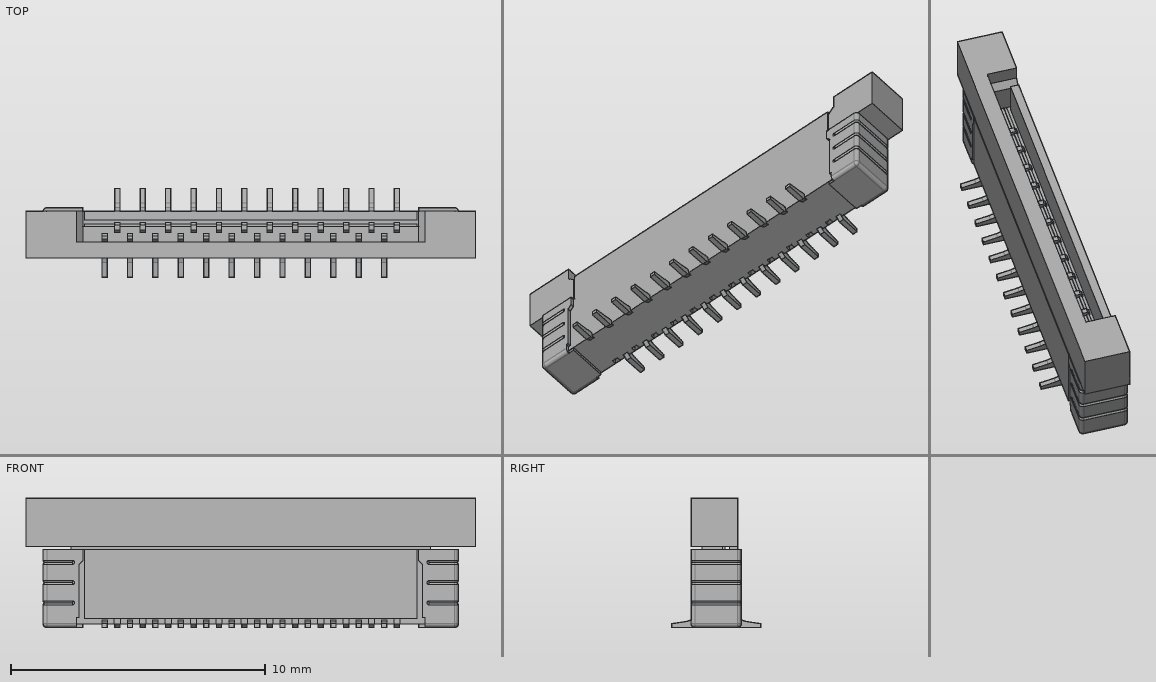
import cadquery as cq

slider_length = 17.7
top_z = 5.1
front_y = -1.0
clip_back_y = -front_y
sheet = 0.15
bend_radius = 0.16
body_back_y = clip_back_y - sheet
body_top_z = 3.08

slider_bottom_z = 3.19
bar_back_y = -0.35
arm_inner_x = 6.6
lead_in_run = 0.25
lead_in_top_z = 4.51

clip_outer_x = 8.18
clip_edge_x = 6.76
clip_tab_x = 6.6
tab_bottom_z = 2.64
relief_x = 6.85
relief_top_z = 0.39
groove_depth = 0.05
groove_half_width = 0.08
groove_tip_x = 6.94
groove_low_z = 0.97
groove_pitch = 0.8
groove_count = 3

body_end_x = clip_outer_x - sheet
body_front_y = front_y + sheet
body_bottom_z = sheet
panel_end_x = 6.55
panel_bottom_z = 0.35
wall_front_y = 0.51
wall_top_z = 4.42
deck_end_x = 7.08
deck_front_y = -0.57
deck_back_y = 0.25
ledge_back_y = 0.35
ledge_height = 0.05
notch_width = 0.25
notch_depth = 0.18

contact_pitch = 1.0
contacts_per_row = 12
contact_width = 0.21
tail_end_y = 1.75
tail_end_height = 0.16
tail_bend_y = 1.17
tail_bend_height = 0.25
tail_root_y = 1.0
tail_root_height = 0.3
tail_heel_y = 0.92
tail_inner_y = 0.7
tip_height = 0.16
tip_base_height = 0.05
tip_front_run = 0.09
tip_back_run = 0.1
back_tip_span = (0.02, 0.4)
front_tip_span = (-0.34, -0.02)


def block(x_range, y_range, z_range):
    """Box between two limits along each axis."""
    (x0, x1), (y0, y1), (z0, z1) = x_range, y_range, z_range
    return cq.Workplane("XY").box(x1 - x0, y1 - y0, z1 - z0, centered=False).translate((x0, y0, z0))


def centred_block(half_length, y_range, z_range):
    """Box that is symmetric about the YZ plane."""
    return block((-half_length, half_length), y_range, z_range)


def along_x(points, length, x_middle):
    """YZ outline extruded along X about x_middle."""
    bar = cq.Workplane("YZ").polyline(points).close().extrude(length / 2, both=True)
    return bar.translate((x_middle, 0, 0))


def make_slider():
    slider = centred_block(slider_length / 2, (front_y, body_back_y), (slider_bottom_z, top_z))
    mouth_x = arm_inner_x + lead_in_run
    slope_bottom_z = lead_in_top_z - lead_in_run
    opening = (
        cq.Workplane("XZ", origin=(0, body_back_y, 0))
        .polyline([
            (-arm_inner_x, slider_bottom_z),
            (arm_inner_x, slider_bottom_z),
            (arm_inner_x, slope_bottom_z),
            (mouth_x, lead_in_top_z),
            (mouth_x, top_z),
            (-mouth_x, top_z),
            (-mouth_x, lead_in_top_z),
            (-arm_inner_x, slope_bottom_z),
        ])
        .close()
        .extrude(body_back_y - bar_back_y)
    )
    return slider.cut(opening)


def make_groove(z):
    """V groove around the left clip, with a cone at each end."""
    outer_x = -clip_outer_x
    end_x = -groove_tip_x - groove_half_width
    corner = bend_radius * (1 - 0.5 ** 0.5)
    path = (
        cq.Workplane("XY", origin=(0, 0, z))
        .moveTo(end_x, front_y)
        .lineTo(outer_x + bend_radius, front_y)
        .threePointArc((outer_x + corner, front_y + corner), (outer_x, front_y + bend_radius))
        .lineTo(outer_x, clip_back_y - bend_radius)
        .threePointArc((outer_x + corner, clip_back_y - corner), (outer_x + bend_radius, clip_back_y))
        .lineTo(end_x, clip_back_y)
    )
    groove = (
        cq.Workplane("YZ", origin=(end_x, 0, 0))
        .polyline([
            (front_y, z - groove_half_width),
            (front_y + groove_depth, z),
            (front_y, z + groove_half_width),
        ])
        .close()
        .sweep(path)
    )
    for face_y, inward in ((front_y, 1), (clip_back_y, -1)):
        cone = cq.Solid.makeCone(
            groove_half_width, 0, groove_depth, cq.Vector(end_x, face_y, z), cq.Vector(0, inward, 0)
        )
        groove = groove.union(cq.Workplane(cone))
    return groove


def make_left_clip():
    y_range = (front_y, clip_back_y)
    cap = block((-clip_outer_x, -clip_tab_x), y_range, (0, body_top_z))
    cap = cap.edges("|Z and <X").fillet(bend_radius)
    cap = cap.faces("<Z").edges("not >X").fillet(bend_radius)
    inside = block(
        (-body_end_x, -clip_tab_x), (body_front_y, body_back_y), (body_bottom_z, body_top_z)
    )
    edge_step = clip_edge_x - clip_tab_x
    wall_trim = (
        cq.Workplane("XZ")
        .polyline([
            (-clip_tab_x, tab_bottom_z),
            (-clip_edge_x, tab_bottom_z - edge_step),
            (-clip_edge_x, relief_top_z),
            (-relief_x, relief_top_z),
            (-relief_x, body_bottom_z),
            (-clip_tab_x, body_bottom_z),
        ])
        .close()
        .extrude(clip_back_y, both=True)
    )
    bend_trims = [
        block((-relief_x, -clip_tab_x), side, (0, body_bottom_z))
        for side in ((front_y, front_y + bend_radius), (clip_back_y - bend_radius, clip_back_y))
    ]
    clip = cap.cut(inside).cut(wall_trim)
    for trim in bend_trims:
        clip = clip.cut(trim)
    for i in range(groove_count):
        clip = clip.cut(make_groove(groove_low_z + i * groove_pitch))
    return clip


def make_clip(side):
    """Clip on the left end (side -1) or its mirror image on the right end (side 1)."""
    clip = make_left_clip()
    return clip if side < 0 else clip.mirror("YZ")


def make_tail(x, side):
    """Solder tail that leaves the housing towards the back (side 1) or the front (side -1)."""
    outline = [
        (tail_inner_y, body_bottom_z),
        (tail_heel_y, 0),
        (tail_end_y, 0),
        (tail_end_y, tail_end_height),
        (tail_bend_y, tail_bend_height),
        (tail_root_y, tail_root_height),
        (tail_inner_y, tail_root_height),
    ]
    return along_x([(side * y, z) for y, z in outline], contact_width, x)


def make_tip(x, span):
    """Contact tip that stands on the deck."""
    y0, y1 = span
    peak_z = slider_bottom_z + tip_height
    outline = [
        (y0, slider_bottom_z),
        (y0 + tip_front_run, peak_z),
        (y1 - tip_back_run, peak_z),
        (y1, slider_bottom_z + tip_base_height),
        (y1, slider_bottom_z),
    ]
    return along_x(outline, contact_width, x)


def make_notch(x):
    """Notch in the front face between the panel and the underside of the housing."""
    return block(
        (x - notch_width / 2, x + notch_width / 2),
        (body_front_y, body_front_y + notch_depth),
        (body_bottom_z, panel_bottom_z),
    )


def make_housing():
    deck_z = (body_top_z, slider_bottom_z)
    ledge_z = (body_top_z, slider_bottom_z + ledge_height)
    housing = (
        centred_block(body_end_x, (body_front_y, body_back_y), (body_bottom_z, body_top_z))
        .union(centred_block(panel_end_x, (front_y, body_front_y), (panel_bottom_z, body_top_z)))
        .union(centred_block(panel_end_x, (wall_front_y, body_back_y), (body_top_z, wall_top_z)))
        .union(centred_block(deck_end_x, (deck_front_y, deck_back_y), deck_z))
        .union(centred_block(panel_end_x, (deck_back_y, ledge_back_y), ledge_z))
    )
    first_x = -contact_pitch * (contacts_per_row - 1) / 2
    row_shift = contact_pitch / 4
    for i in range(contacts_per_row):
        back_x = first_x + row_shift + i * contact_pitch
        front_x = first_x - row_shift + i * contact_pitch
        housing = (
            housing.cut(make_notch(back_x))
            .union(make_tail(back_x, 1))
            .union(make_tip(back_x, back_tip_span))
            .union(make_tail(front_x, -1))
            .union(make_tip(front_x, front_tip_span))
        )
    return housing


slider = make_slider()
housing = make_housing()
clips = [make_clip(side) for side in (-1, 1)]

result = cq.Compound.makeCompound([slider.val(), housing.val(), *[clip.val() for clip in clips]])